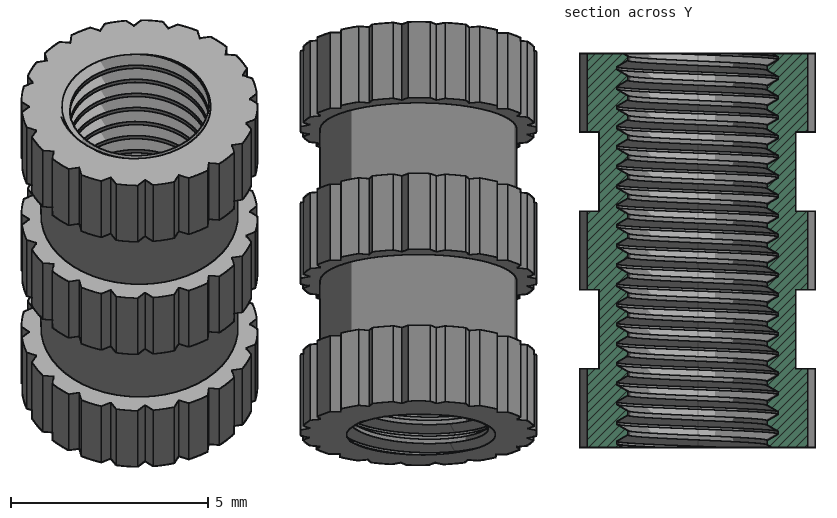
import cadquery as cq
import math

length = 10.0
band_count = 5
band_height = length / band_count
collar_diameter = 6.0
neck_diameter = 5.0

knurl_count = 20
knurl_depth = 0.2
knurl_overshoot = 0.1

bore_diameter = 3.53
thread_diameter = 4.09
thread_pitch = 0.5
thread_root_width = thread_pitch / 8
flank_half_angle = math.radians(30)
thread_angle = -90.0
thread_overlap = 0.03


def make_body():
    """Stack of alternating collars and necks along Z."""
    body = cq.Workplane("XY").circle(neck_diameter / 2).extrude(length)
    for band in range(0, band_count, 2):
        collar = (
            cq.Workplane("XY", origin=(0, 0, band * band_height))
            .circle(collar_diameter / 2)
            .extrude(band_height)
        )
        body = body.union(collar)
    return body


def make_knurl_cutter():
    """One V-groove cutter on +X, long enough to cross every collar."""
    groove_bottom = collar_diameter / 2 - knurl_depth
    cutter_height = knurl_depth + knurl_overshoot
    return (
        cq.Workplane("XY")
        .moveTo(groove_bottom, 0)
        .lineTo(groove_bottom + cutter_height, cutter_height)
        .lineTo(groove_bottom + cutter_height, -cutter_height)
        .close()
        .extrude(length)
    )


def make_thread_cutter():
    """Helical ridge that cuts the thread, built turn by turn and running one pitch past both ends."""
    bore_radius = bore_diameter / 2
    root_radius = thread_diameter / 2
    inner_radius = bore_radius - thread_overlap
    root_half = thread_root_width / 2
    inner_half = root_half + (root_radius - inner_radius) * math.tan(flank_half_angle)
    profile = [
        (inner_radius, -inner_half),
        (root_radius, -root_half),
        (root_radius, root_half),
        (inner_radius, inner_half),
    ]
    full_turns = round(length / thread_pitch)

    faces = []
    for turn in range(-1, full_turns + 1):
        base_z = turn * thread_pitch
        edges = []
        for radius, z in profile:
            helix = cq.Wire.makeHelix(thread_pitch, thread_pitch, radius)
            edges.append(helix.translate(cq.Vector(0, 0, base_z + z)).Edges()[0])
        for side in range(len(profile)):
            faces.append(cq.Face.makeRuledSurface(edges[side - 1], edges[side]))

    for end_z in (-thread_pitch, length + thread_pitch):
        corners = [cq.Vector(radius, 0, end_z + z) for radius, z in profile]
        faces.append(cq.Face.makeFromWires(cq.Wire.makePolygon(corners, close=True)))
    ridge = cq.Solid.makeSolid(cq.Shell.makeShell(faces))
    return ridge.rotate(cq.Vector(0, 0, 0), cq.Vector(0, 0, 1), thread_angle)


result = make_body()

knurl_cutter = make_knurl_cutter()
for index in range(knurl_count):
    angle = index * 360 / knurl_count
    result = result.cut(knurl_cutter.rotate((0, 0, 0), (0, 0, 1), angle))

bore = cq.Workplane("XY").circle(bore_diameter / 2).extrude(length)
result = result.cut(make_thread_cutter()).cut(bore)